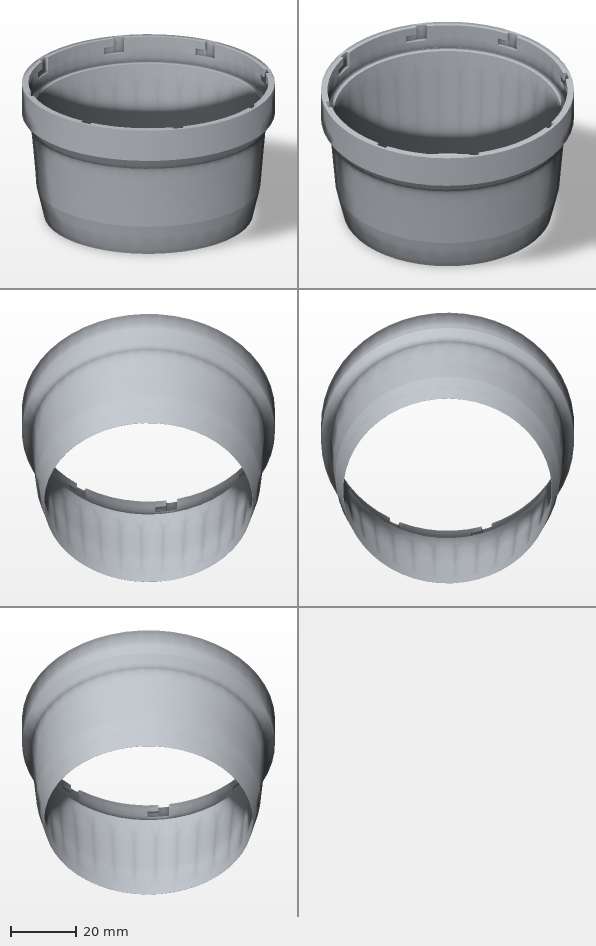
import cadquery as cq

rim_radius = 38.7
total_height = 43.5

bottom_radius = 32.0
lower_cone_height = 9.9
lower_cone_top_radius = 34.3
upper_cone_height = 19.9
upper_cone_top_radius = 36.0
rim_height = 10.0

bore_bottom_radius = 31.9
seat_inner_radius = 34.9
seat_depth = 8.2
socket_radius = 73.4 / 2
step_radius = 36.5
step_height = 0.2

slot_count = 8
slot_start_angle = 16.5
slot_width_angle = 5.1
entry_outer_radius = 37.8
lock_outer_radius = 37.45
slot_depth = 5.0
lock_height = 2.4

upper_cone_top = lower_cone_height + upper_cone_height
rim_bottom = total_height - rim_height
seat_level = total_height - seat_depth
step_top = seat_level + step_height
slot_floor = total_height - slot_depth


def make_body():
    """Revolve the wall section about Z."""
    section = [
        (bore_bottom_radius, 0),
        (bottom_radius, 0),
        (lower_cone_top_radius, lower_cone_height),
        (upper_cone_top_radius, upper_cone_top),
        (rim_radius, rim_bottom),
        (rim_radius, total_height),
        (socket_radius, total_height),
        (socket_radius, step_top),
        (step_radius, step_top),
        (step_radius, seat_level),
        (seat_inner_radius, seat_level),
    ]
    return cq.Workplane("XZ").polyline(section).close().revolve(360, (0, 0), (0, 1))


def ring_sector(start_angle, sweep_angle, outer_radius, bottom, height):
    """Solid sector reaching from inside the socket to the given outer radius."""
    return (
        cq.Workplane("XZ")
        .moveTo(seat_inner_radius, bottom)
        .lineTo(outer_radius, bottom)
        .lineTo(outer_radius, bottom + height)
        .lineTo(seat_inner_radius, bottom + height)
        .close()
        .revolve(sweep_angle, (0, 0), (0, 1))
        .rotate((0, 0, 0), (0, 0, 1), start_angle)
    )


def make_slot(start_angle):
    """Entry open at the rim, with a low, shallower lock pocket running counterclockwise from its foot."""
    entry = ring_sector(start_angle, slot_width_angle, entry_outer_radius, slot_floor, slot_depth)
    lock = ring_sector(start_angle, 2 * slot_width_angle, lock_outer_radius, slot_floor, lock_height)
    return entry.union(lock)


result = make_body()
for index in range(slot_count):
    result = result.cut(make_slot(slot_start_angle + index * 360 / slot_count))